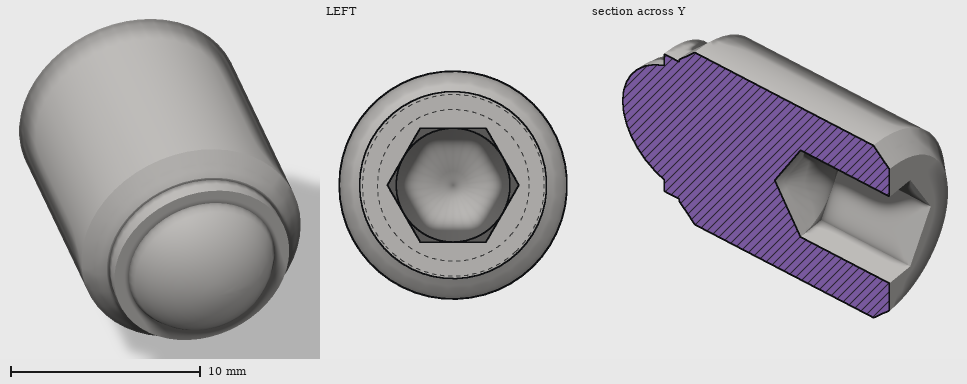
import cadquery as cq
import math

overall_length = 18.0
body_diameter = 12.0
body_length = 14.2
chamfer = 1.08
collar_diameter = 9.58
collar_end = 15.2
ball_radius = 4.25
socket_width = 6.0
socket_depth = 6.0
drill_point_angle = 120.0

body_radius = body_diameter / 2
face_radius = body_radius - chamfer
collar_radius = collar_diameter / 2
ball_center = overall_length - ball_radius


def make_screw():
    """Chamfered body, collar and protruding ball cap, revolved about X."""
    ball_exit_radius = math.sqrt(ball_radius**2 - (collar_end - ball_center) ** 2)
    cap_diagonal = ball_radius * math.sqrt(0.5)
    profile = (
        cq.Workplane("XY")
        .lineTo(0, face_radius)
        .lineTo(chamfer, body_radius)
        .lineTo(body_length - chamfer, body_radius)
        .lineTo(body_length, face_radius)
        .lineTo(body_length, collar_radius)
        .lineTo(collar_end, collar_radius)
        .lineTo(collar_end, ball_exit_radius)
        .threePointArc((ball_center + cap_diagonal, cap_diagonal), (overall_length, 0))
        .close()
    )
    return profile.revolve(360, (0, 0, 0), (1, 0, 0))


def make_socket():
    """Hexagon socket with corners along Y, ending in a conical drill point."""
    across_corners = socket_width / math.cos(math.radians(30))
    hexagon = cq.Workplane("YZ").polygon(6, across_corners).extrude(socket_depth)
    cone_radius = socket_width / 2
    cone_height = cone_radius / math.tan(math.radians(drill_point_angle / 2))
    drill_point = cq.Solid.makeCone(
        cone_radius, 0, cone_height, pnt=cq.Vector(socket_depth, 0, 0), dir=cq.Vector(1, 0, 0)
    )
    return hexagon.union(cq.Workplane(drill_point))


result = make_screw().cut(make_socket())